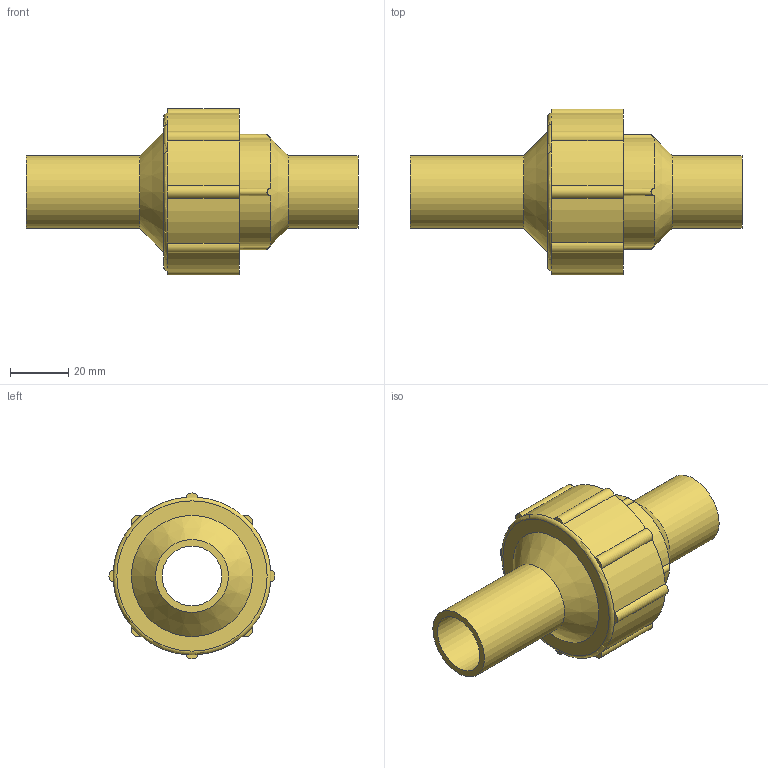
import cadquery as cq
import math

full_turn = 360.0

left_cone_start_x = 39.0
nut_start_x = 47.3
nut_end_x = 73.3
right_cone_end_x = 90.0
overall_length = 114.0

bore_radius = 10.25
pipe_radius = 12.5
nut_radius = 27.1
collar_radius = 18.5
nut_edge_fillet = 1.3

nut_rib_count = 8
nut_rib_tip_radius = 28.5
nut_rib_round_radius = 2.4

collar_rib_count = 4
collar_rib_round_radius = 1.25

cone_angle = 45.0
cone_slope = math.tan(math.radians(cone_angle))
left_cone_radius = pipe_radius + (nut_start_x - left_cone_start_x) * cone_slope


def axial_cylinder(radius, start_x, end_x, centre_z=0.0):
    """Solid cylinder parallel to X, with its seam on the side facing -Z, which ribs bury in the body."""
    plane = cq.Plane(origin=(start_x, 0, centre_z), xDir=(0, 0, -1), normal=(1, 0, 0))
    return cq.Workplane(plane).circle(radius).extrude(end_x - start_x)


def axial_cone(start_radius, start_x, end_radius, end_x):
    """Solid truncated cone around the X axis."""
    profile = [(start_x, 0), (start_x, start_radius), (end_x, end_radius), (end_x, 0)]
    return cq.Workplane("XY").polyline(profile).close().revolve(full_turn, (0, 0, 0), (1, 0, 0))


def around_axis(rib, count):
    """Equally spaced copies of a rib around the X axis."""
    return [rib.rotate((0, 0, 0), (1, 0, 0), i * full_turn / count) for i in range(count)]


def make_nut():
    """Union nut with a rounded front edge and grip ribs that start behind the rounding."""
    nut = axial_cylinder(nut_radius, nut_start_x, nut_end_x)
    nut = nut.faces("<X").edges().fillet(nut_edge_fillet)
    rib_start_x = nut_start_x + nut_edge_fillet
    rib_centre = nut_rib_tip_radius - nut_rib_round_radius
    rib = axial_cylinder(nut_rib_round_radius, rib_start_x, nut_end_x, rib_centre)
    for copy in around_axis(rib, nut_rib_count):
        nut = nut.union(copy)
    return nut


def make_collar():
    """Ribbed collar whose far end is turned to a cone, which also bevels the ribs."""
    collar = axial_cylinder(collar_radius, nut_end_x, right_cone_end_x)
    rib = axial_cylinder(collar_rib_round_radius, nut_end_x, right_cone_end_x, collar_radius)
    for copy in around_axis(rib, collar_rib_count):
        collar = collar.union(copy)
    envelope_start_radius = pipe_radius + (right_cone_end_x - nut_end_x) * cone_slope
    return collar.intersect(axial_cone(envelope_start_radius, nut_end_x, pipe_radius, right_cone_end_x))


pipe = axial_cylinder(pipe_radius, 0, overall_length)
left_cone = axial_cone(pipe_radius, left_cone_start_x, left_cone_radius, nut_start_x)
bore = axial_cylinder(bore_radius, 0, overall_length)

result = pipe.union(left_cone).union(make_nut()).union(make_collar()).cut(bore)